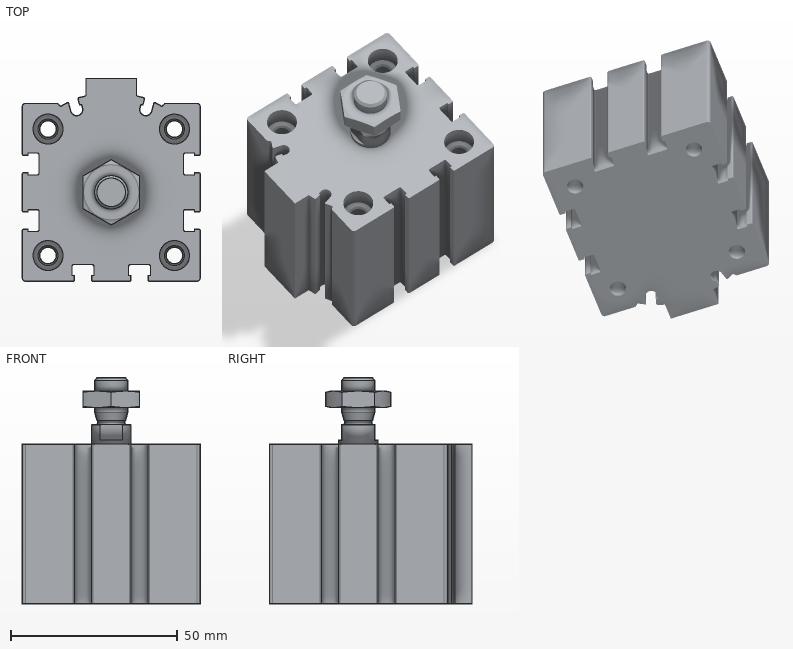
import cadquery as cq
import math


WIDTH = 53.5
HALF_WIDTH = WIDTH / 2
OVERALL_LENGTH = 61.0
HOUSING_HEIGHT = 48.0
CORNER_RADIUS = 1.0
TONGUE_HALF_WIDTH = 7.6
TONGUE_END_Y = OVERALL_LENGTH - HALF_WIDTH

SLOT_OFFSET = 8.5
SLOT_MOUTH_WIDTH = 5.2
SLOT_INNER_WIDTH = 6.5
SLOT_DEPTH = 5.0
SLOT_LIP_DEPTH = 1.8
SLOT_INNER_RADIUS = 0.5
SLOT_MOUTH_RADIUS = 0.4

GROOVE_CENTER = (10.4, 24.84)
GROOVE_RADIUS = 1.8
GROOVE_TILT = math.radians(15)
GROOVE_LIP_HEIGHT = 1.05
GROOVE_LIP_REACH = 1.2
WING_HEIGHT = 3.32
WING_CORNER_CUT = 0.3

RIDGE_Y = 26.95
RIDGE_WIDTH = 0.4
NOTCH_POINT = (15.2, 25.85)
NOTCH_OUTER_X = 16.2

HOLE_OFFSET = 19.0
HOLE_DIAMETER = 4.92
COUNTERBORE_DIAMETER = 9.0
COUNTERBORE_DEPTH = 5.7
COUNTERSINK_DIAMETER = 6.0

ROD_DIAMETER = 12.0
FLATS_WIDTH = 10.0
FLATS_START_Z = 49.2
SHOULDER_Z = 54.0
SHOULDER_CHAMFER = 0.25
FLARE_DIAMETER = 8.65
NECK_DIAMETER = 8.2
NECK_FILLET_RADIUS = 0.35
NECK_START_Z = 54.6
NECK_END_Z = 54.9
CONE_START_Z = 55.2
THREAD_DIAMETER = 10.0
THREAD_START_Z = 57.6
THREAD_TIP_DIAMETER = 8.57
THREAD_CHAMFER_HEIGHT = 0.85
ROD_END_Z = 68.0

NUT_ACROSS_FLATS = 17.0
NUT_ACROSS_CORNERS = NUT_ACROSS_FLATS / math.cos(math.pi / 6)
NUT_BASE_Z = 59.0
NUT_THICKNESS = 5.0
NUT_FACE_DIAMETER = 16.6
NUT_CHAMFER_ANGLE = math.radians(15)


def groove_point(across, along):
    """Point on the +X groove, measured from its centre; across is positive toward the tongue."""
    x = GROOVE_CENTER[0] - across * math.cos(GROOVE_TILT) + along * math.sin(GROOVE_TILT)
    y = GROOVE_CENTER[1] + across * math.sin(GROOVE_TILT) + along * math.cos(GROOVE_TILT)
    return (x, y)


def half_housing():
    """The +X half of the housing, extruded from its outline."""
    tongue_root_across = (
        GROOVE_CENTER[0] - TONGUE_HALF_WIDTH + WING_HEIGHT * math.sin(GROOVE_TILT)
    ) / math.cos(GROOVE_TILT)
    ridge_along = (
        RIDGE_Y - GROOVE_CENTER[1] + GROOVE_RADIUS * math.sin(GROOVE_TILT)
    ) / math.cos(GROOVE_TILT)
    ridge_inner = groove_point(-GROOVE_RADIUS, ridge_along)
    return (
        cq.Workplane("XY")
        .moveTo(0, -HALF_WIDTH)
        .lineTo(0, TONGUE_END_Y)
        .lineTo(TONGUE_HALF_WIDTH, TONGUE_END_Y)
        .lineTo(*groove_point(tongue_root_across, WING_HEIGHT))
        .lineTo(*groove_point(GROOVE_LIP_REACH + WING_CORNER_CUT, WING_HEIGHT))
        .lineTo(*groove_point(GROOVE_LIP_REACH, WING_HEIGHT - WING_CORNER_CUT))
        .lineTo(*groove_point(GROOVE_LIP_REACH, GROOVE_LIP_HEIGHT))
        .lineTo(*groove_point(GROOVE_RADIUS, GROOVE_LIP_HEIGHT))
        .lineTo(*groove_point(GROOVE_RADIUS, 0))
        .threePointArc(groove_point(0, -GROOVE_RADIUS), groove_point(-GROOVE_RADIUS, 0))
        .lineTo(*ridge_inner)
        .lineTo(ridge_inner[0] + RIDGE_WIDTH, RIDGE_Y)
        .lineTo(*NOTCH_POINT)
        .lineTo(NOTCH_OUTER_X, HALF_WIDTH)
        .lineTo(HALF_WIDTH, HALF_WIDTH)
        .lineTo(HALF_WIDTH, -HALF_WIDTH)
        .close()
        .extrude(HOUSING_HEIGHT)
    )


def t_slot(offset, turn):
    """T-slot cutter in the front face at X = offset, then turned about Z onto its own face."""
    chamber_depth = SLOT_DEPTH - SLOT_LIP_DEPTH
    chamber = (
        cq.Workplane("XY")
        .box(SLOT_INNER_WIDTH, chamber_depth, HOUSING_HEIGHT, centered=(True, False, False))
        .edges("|Z and >Y")
        .fillet(SLOT_INNER_RADIUS)
        .translate((offset, SLOT_LIP_DEPTH - HALF_WIDTH, 0))
    )
    half_mouth = SLOT_MOUTH_WIDTH / 2
    bulge = SLOT_MOUTH_RADIUS * (1 - math.sqrt(0.5))
    mouth = (
        cq.Workplane("XY")
        .moveTo(-half_mouth - SLOT_MOUTH_RADIUS, 0)
        .threePointArc((-half_mouth - bulge, bulge), (-half_mouth, SLOT_MOUTH_RADIUS))
        .lineTo(-half_mouth, SLOT_LIP_DEPTH)
        .lineTo(half_mouth, SLOT_LIP_DEPTH)
        .lineTo(half_mouth, SLOT_MOUTH_RADIUS)
        .threePointArc((half_mouth + bulge, bulge), (half_mouth + SLOT_MOUTH_RADIUS, 0))
        .close()
        .extrude(HOUSING_HEIGHT)
        .translate((offset, -HALF_WIDTH, 0))
    )
    return chamber.union(mouth).rotate((0, 0, 0), (0, 0, 1), turn)


def make_housing():
    half = half_housing().edges("|Z and >X").fillet(CORNER_RADIUS)
    body = half.union(half.mirror("YZ"))
    for turn in (-90, 0, 90):
        for side in (-1, 1):
            body = body.cut(t_slot(side * SLOT_OFFSET, turn))
    floor_z = HOUSING_HEIGHT - COUNTERBORE_DEPTH
    sink_depth = (COUNTERSINK_DIAMETER - HOLE_DIAMETER) / 2
    hole = (
        cq.Workplane("XZ")
        .moveTo(0, 0)
        .lineTo(HOLE_DIAMETER / 2, 0)
        .lineTo(HOLE_DIAMETER / 2, floor_z - sink_depth)
        .lineTo(COUNTERSINK_DIAMETER / 2, floor_z)
        .lineTo(COUNTERBORE_DIAMETER / 2, floor_z)
        .lineTo(COUNTERBORE_DIAMETER / 2, HOUSING_HEIGHT)
        .lineTo(0, HOUSING_HEIGHT)
        .close()
        .revolve(360, (0, 0, 0), (0, 1, 0))
    )
    for x in (-HOLE_OFFSET, HOLE_OFFSET):
        for y in (-HOLE_OFFSET, HOLE_OFFSET):
            body = body.cut(hole.translate((x, y, 0)))
    return body


def make_rod():
    rod = (
        cq.Workplane("XZ")
        .moveTo(0, ROD_END_Z)
        .lineTo(THREAD_TIP_DIAMETER / 2, ROD_END_Z)
        .lineTo(THREAD_DIAMETER / 2, ROD_END_Z - THREAD_CHAMFER_HEIGHT)
        .lineTo(THREAD_DIAMETER / 2, THREAD_START_Z)
        .lineTo(FLARE_DIAMETER / 2, CONE_START_Z)
        .radiusArc((NECK_DIAMETER / 2, NECK_END_Z), -NECK_FILLET_RADIUS)
        .lineTo(NECK_DIAMETER / 2, NECK_START_Z)
        .tangentArcPoint((FLARE_DIAMETER / 2, SHOULDER_Z), relative=False)
        .lineTo(ROD_DIAMETER / 2 - SHOULDER_CHAMFER, SHOULDER_Z)
        .lineTo(ROD_DIAMETER / 2, SHOULDER_Z - SHOULDER_CHAMFER)
        .lineTo(ROD_DIAMETER / 2, HOUSING_HEIGHT)
        .lineTo(0, HOUSING_HEIGHT)
        .close()
        .revolve(360, (0, 0, 0), (0, 1, 0))
    )
    flats_height = SHOULDER_Z - FLATS_START_Z
    for side in (-1, 1):
        flat = (
            cq.Workplane("XY")
            .box(ROD_DIAMETER, ROD_DIAMETER, flats_height, centered=(True, True, False))
            .translate((0, side * (FLATS_WIDTH + ROD_DIAMETER) / 2, FLATS_START_Z))
        )
        rod = rod.cut(flat)
    return rod


def make_nut():
    hexagon = (
        cq.Workplane("XY", origin=(0, 0, NUT_BASE_Z))
        .polygon(6, NUT_ACROSS_CORNERS)
        .extrude(NUT_THICKNESS)
        .rotate((0, 0, 0), (0, 0, 1), 30)
    )
    top_z = NUT_BASE_Z + NUT_THICKNESS
    face_radius = NUT_FACE_DIAMETER / 2
    corner_radius = NUT_ACROSS_CORNERS / 2
    drop = (corner_radius - face_radius) * math.tan(NUT_CHAMFER_ANGLE)
    chamfered_ring = (
        cq.Workplane("XZ")
        .moveTo(THREAD_DIAMETER / 2, NUT_BASE_Z)
        .lineTo(face_radius, NUT_BASE_Z)
        .lineTo(corner_radius, NUT_BASE_Z + drop)
        .lineTo(corner_radius, top_z - drop)
        .lineTo(face_radius, top_z)
        .lineTo(THREAD_DIAMETER / 2, top_z)
        .close()
        .revolve(360, (0, 0, 0), (0, 1, 0))
    )
    return hexagon.intersect(chamfered_ring)


housing = make_housing()
rod = make_rod()
nut = make_nut()
result = cq.Compound.makeCompound([housing.val(), rod.val(), nut.val()])